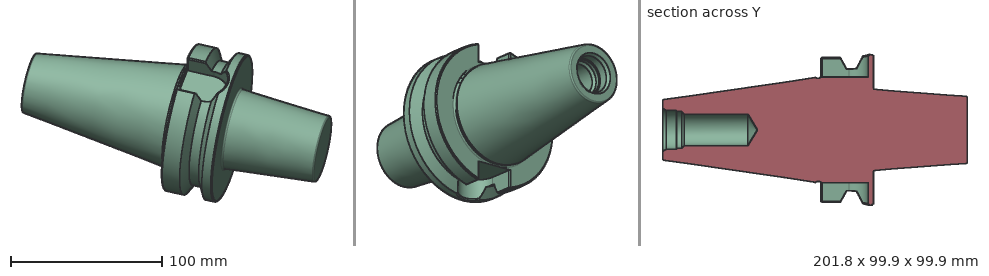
import cadquery as cq
import math

LENGTH = 201.8
NECK_START = 101.1
FLANGE_START = 104.7
GROOVE_START = 117.5
GROOVE_END = 132.8
FLANGE_END = 139.6

SMALL_END_RADIUS = 20.2
TAPER_RATE = 7 / 48
NECK_RADIUS = 34.3
FLANGE_RADIUS = 49.95
GROOVE_RADIUS = 42.4
NOSE_ROOT_RADIUS = 27.0
NOSE_TIP_RADIUS = 22.5

NECK_STEP = 1.2
FLANGE_ROOT_FILLET = 1.2
RIM_CHAMFER = 0.8
END_FILLET = 1.0
GROOVE_WALL_ANGLE = 30.0

SLOT_WIDTH = 25.6
SLOT_FLOOR = 35.1
SLOT_END = 136.0
SLOT_EDGE_CHAMFER = 1.0

MOUTH_RADIUS = 14.1
MOUTH_DEPTH = 2.5
COUNTERBORE_RADIUS = 12.7
COUNTERBORE_DEPTH = 8.9
RELIEF_RADIUS = 12.1
RELIEF_DEPTH = 12.5
THREAD_RADIUS = 10.3
BORE_DEPTH = 56.5
DRILL_HALF_ANGLE = 59.0

OVERCUT = 2.0
MARGIN = 0.2


def make_body():
    """Turned outside shape: taper, neck, grooved flange and tapered nose."""
    taper_end_radius = SMALL_END_RADIUS + TAPER_RATE * NECK_START
    wall_run = (FLANGE_RADIUS - GROOVE_RADIUS) * math.tan(math.radians(GROOVE_WALL_ANGLE))
    profile = (
        cq.Workplane("XY")
        .lineTo(0, SMALL_END_RADIUS)
        .lineTo(NECK_START, taper_end_radius)
        .lineTo(NECK_START + NECK_STEP, NECK_RADIUS)
        .lineTo(FLANGE_START - FLANGE_ROOT_FILLET, NECK_RADIUS)
        .radiusArc((FLANGE_START, NECK_RADIUS + FLANGE_ROOT_FILLET), -FLANGE_ROOT_FILLET)
        .lineTo(FLANGE_START, FLANGE_RADIUS - RIM_CHAMFER)
        .lineTo(FLANGE_START + RIM_CHAMFER, FLANGE_RADIUS)
        .lineTo(GROOVE_START, FLANGE_RADIUS)
        .lineTo(GROOVE_START + wall_run, GROOVE_RADIUS)
        .lineTo(GROOVE_END - wall_run, GROOVE_RADIUS)
        .lineTo(GROOVE_END, FLANGE_RADIUS)
        .lineTo(FLANGE_END - RIM_CHAMFER, FLANGE_RADIUS)
        .lineTo(FLANGE_END, FLANGE_RADIUS - RIM_CHAMFER)
        .lineTo(FLANGE_END, NOSE_ROOT_RADIUS + FLANGE_ROOT_FILLET)
        .radiusArc((FLANGE_END + FLANGE_ROOT_FILLET, NOSE_ROOT_RADIUS), -FLANGE_ROOT_FILLET)
        .lineTo(LENGTH, NOSE_TIP_RADIUS)
        .lineTo(LENGTH, 0)
        .close()
    )
    body = profile.revolve(360, (0, 0, 0), (1, 0, 0))
    return body.faces("<X or >X").edges().fillet(END_FILLET)


def make_bore():
    """Stepped blind hole with 45 degree lead-ins and a drill-point bottom."""
    tip_depth = BORE_DEPTH + THREAD_RADIUS / math.tan(math.radians(DRILL_HALF_ANGLE))
    relief_start = COUNTERBORE_DEPTH + COUNTERBORE_RADIUS - RELIEF_RADIUS
    thread_start = RELIEF_DEPTH + RELIEF_RADIUS - THREAD_RADIUS
    return (
        cq.Workplane("XY")
        .lineTo(0, MOUTH_RADIUS)
        .lineTo(MOUTH_DEPTH, COUNTERBORE_RADIUS)
        .lineTo(COUNTERBORE_DEPTH, COUNTERBORE_RADIUS)
        .lineTo(relief_start, RELIEF_RADIUS)
        .lineTo(RELIEF_DEPTH, RELIEF_RADIUS)
        .lineTo(thread_start, THREAD_RADIUS)
        .lineTo(BORE_DEPTH, THREAD_RADIUS)
        .lineTo(tip_depth, 0)
        .close()
        .revolve(360, (0, 0, 0), (1, 0, 0))
    )


def make_slot(side):
    """Cutter for one drive slot; side is +1 for +Z and -1 for -Z."""
    half = SLOT_WIDTH / 2
    arc_center = SLOT_END - half
    return (
        cq.Workplane("XY", origin=(0, 0, side * SLOT_FLOOR))
        .moveTo(FLANGE_START - OVERCUT, -half)
        .lineTo(arc_center, -half)
        .threePointArc((SLOT_END, 0), (arc_center, half))
        .lineTo(FLANGE_START - OVERCUT, half)
        .close()
        .extrude(side * FLANGE_RADIUS)
    )


def slot_edges(side):
    """Boxes around the edge centers to chamfer: both straight walls and the round end."""
    half = SLOT_WIDTH / 2
    z_low = side * (SLOT_FLOOR + MARGIN)
    z_high = side * (FLANGE_RADIUS + MARGIN)
    selector = cq.selectors.BoxSelector(
        (GROOVE_END + MARGIN, -half, z_low), (SLOT_END, half, z_high)
    )
    for wall in (-half, half):
        selector = selector + cq.selectors.BoxSelector(
            (FLANGE_START - MARGIN, wall - MARGIN, z_low),
            (GROOVE_START, wall + MARGIN, z_high),
        )
    return selector


result = make_body()
for side in (1, -1):
    result = result.cut(make_slot(side))
    result = result.edges(slot_edges(side)).chamfer(SLOT_EDGE_CHAMFER)
result = result.cut(make_bore())